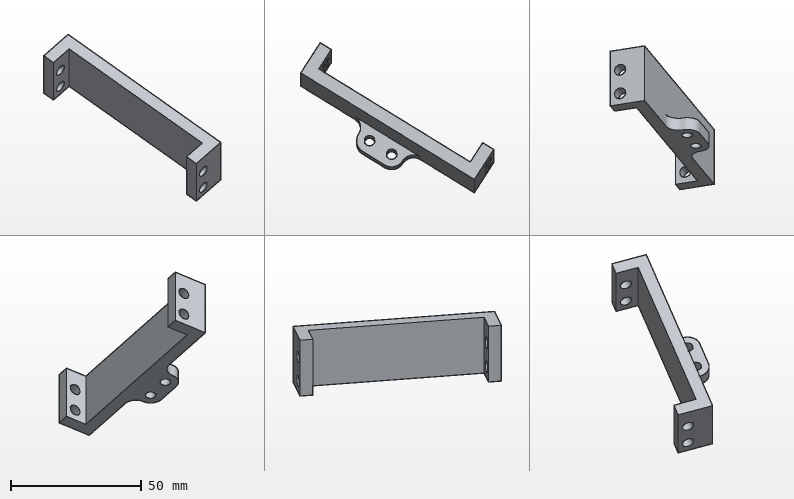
import cadquery as cq

length = 78.8
height = 23.3
wall = 5.05
leg_depth = 14.0

tab_reach = 10.0
tab_width = 20.0
tab_thickness = 5.05
tab_radius = tab_reach / 2
tab_hole_diameter = 4.0
tab_hole_spacing = 10.0

leg_hole_diameter = 4.5
leg_hole_spacing = 10.0
leg_hole_front_offset = 4.0
lower_leg_hole_height = 4.7


def make_channel():
    """U-shaped channel with its back face on Y = 0."""
    block = cq.Workplane("XY").box(length, leg_depth, height, centered=(True, False, False))
    opening = cq.Workplane("XY").box(
        length - 2 * wall, leg_depth - wall, height, centered=(True, False, False)
    )
    return block.cut(opening).translate((0, -leg_depth, 0))


def make_tab():
    """Tab with rounded outer corners and concave flares at its root."""
    r = tab_radius
    half = tab_width / 2
    diagonal = r * 0.5**0.5
    outline = (
        cq.Workplane("XY")
        .moveTo(-half - r, 0)
        .threePointArc((-half - r + diagonal, r - diagonal), (-half, r))
        .threePointArc((-half + r - diagonal, r + diagonal), (-half + r, tab_reach))
        .lineTo(half - r, tab_reach)
        .threePointArc((half - r + diagonal, r + diagonal), (half, r))
        .threePointArc((half + r - diagonal, r - diagonal), (half + r, 0))
        .close()
    )
    holes = (
        cq.Workplane("XY")
        .pushPoints([(side * tab_hole_spacing / 2, r) for side in (-1, 1)])
        .circle(tab_hole_diameter / 2)
        .extrude(tab_thickness)
    )
    return outline.extrude(tab_thickness).cut(holes)


def make_leg_holes():
    """Two cylinders along X that pass through both legs."""
    y = leg_hole_front_offset - leg_depth
    heights = (lower_leg_hole_height, lower_leg_hole_height + leg_hole_spacing)
    return (
        cq.Workplane("YZ")
        .pushPoints([(y, z) for z in heights])
        .circle(leg_hole_diameter / 2)
        .extrude(length / 2, both=True)
    )


result = make_channel().union(make_tab()).cut(make_leg_holes())